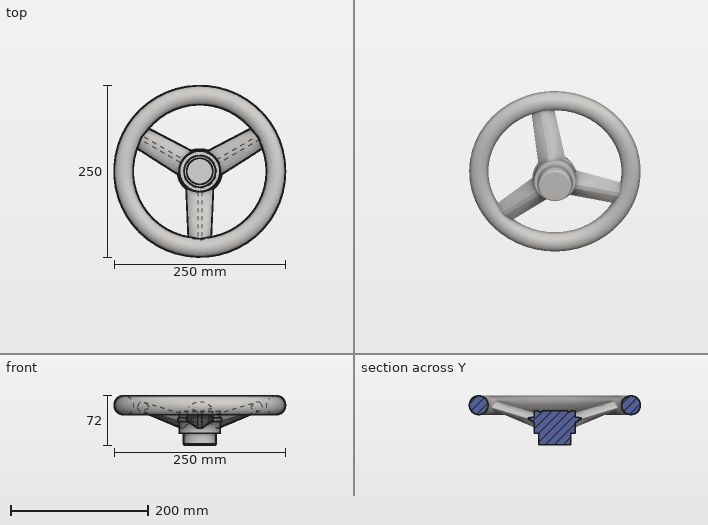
import cadquery as cq

outer_diameter = 250.0
rim_thickness = 28.0
total_height = 72.0
rim_section_radius = rim_thickness / 2
rim_center_radius = outer_diameter / 2 - rim_section_radius
rim_center_height = total_height - rim_section_radius

collar_diameter = 48.0
collar_height = 17.0
collar_chamfer = 1.5
hub_diameter = 60.0
hub_top = 50.0
hub_chamfer = 0.5
groove_outer_diameter = 46.0
groove_inner_diameter = 38.0
groove_depth = 1.2

bead_diameter = 6.0
bead_center_radius = 29.5
bead_height = 36.7

spoke_count = 3
first_spoke_angle = -90.0
keel_half_width = 3.0
spoke_start_radius = 20.0
spoke_edge_height = 3.0
spoke_start = dict(half_width=20.2, keel=21.0, edge=35.5, crown=43.0, edge_height=spoke_edge_height)
spoke_end = dict(half_width=16.2, keel=54.2, edge=58.7, crown=66.7, edge_height=spoke_edge_height)
edge_bulge = 1.0


def make_rim():
    return (
        cq.Workplane("XZ")
        .center(rim_center_radius, rim_center_height)
        .circle(rim_section_radius)
        .revolve(360, (-rim_center_radius, 0), (-rim_center_radius, 1))
    )


def make_hub():
    collar = (
        cq.Workplane("XY")
        .circle(collar_diameter / 2)
        .extrude(hub_top)
        .faces("<Z")
        .chamfer(collar_chamfer)
    )
    body = (
        cq.Workplane("XY", origin=(0, 0, collar_height))
        .circle(hub_diameter / 2)
        .extrude(hub_top - collar_height)
        .faces("<Z or >Z")
        .chamfer(hub_chamfer)
    )
    return collar.union(body)


def make_bead():
    return (
        cq.Workplane("XZ")
        .center(bead_center_radius, bead_height)
        .circle(bead_diameter / 2)
        .revolve(360, (-bead_center_radius, 0), (-bead_center_radius, 1))
    )


def spoke_section(radius, half_width, keel, edge, crown, edge_height):
    """Closed cross-section of the spoke, standing at a distance from the axis."""
    edge_bottom = edge - edge_height / 2
    edge_top = edge + edge_height / 2
    shoulder = half_width - edge_bulge
    return (
        cq.Workplane("YZ", origin=(radius, 0, 0))
        .moveTo(-keel_half_width, keel)
        .lineTo(keel_half_width, keel)
        .lineTo(shoulder, edge_bottom)
        .threePointArc((half_width, edge), (shoulder, edge_top))
        .threePointArc((0, crown), (-shoulder, edge_top))
        .threePointArc((-half_width, edge), (-shoulder, edge_bottom))
        .close()
        .val()
    )


def make_spoke(angle):
    inner = spoke_section(spoke_start_radius, **spoke_start)
    outer = spoke_section(rim_center_radius, **spoke_end)
    spoke = cq.Solid.makeLoft([inner, outer], True)
    return cq.Workplane(spoke).rotate((0, 0, 0), (0, 0, 1), angle)


def make_groove():
    return (
        cq.Workplane("XY", origin=(0, 0, hub_top - groove_depth))
        .circle(groove_outer_diameter / 2)
        .circle(groove_inner_diameter / 2)
        .extrude(groove_depth)
    )


result = make_hub().union(make_bead()).union(make_rim())
for index in range(spoke_count):
    result = result.union(make_spoke(first_spoke_angle + index * 360 / spoke_count))
result = result.cut(make_groove())